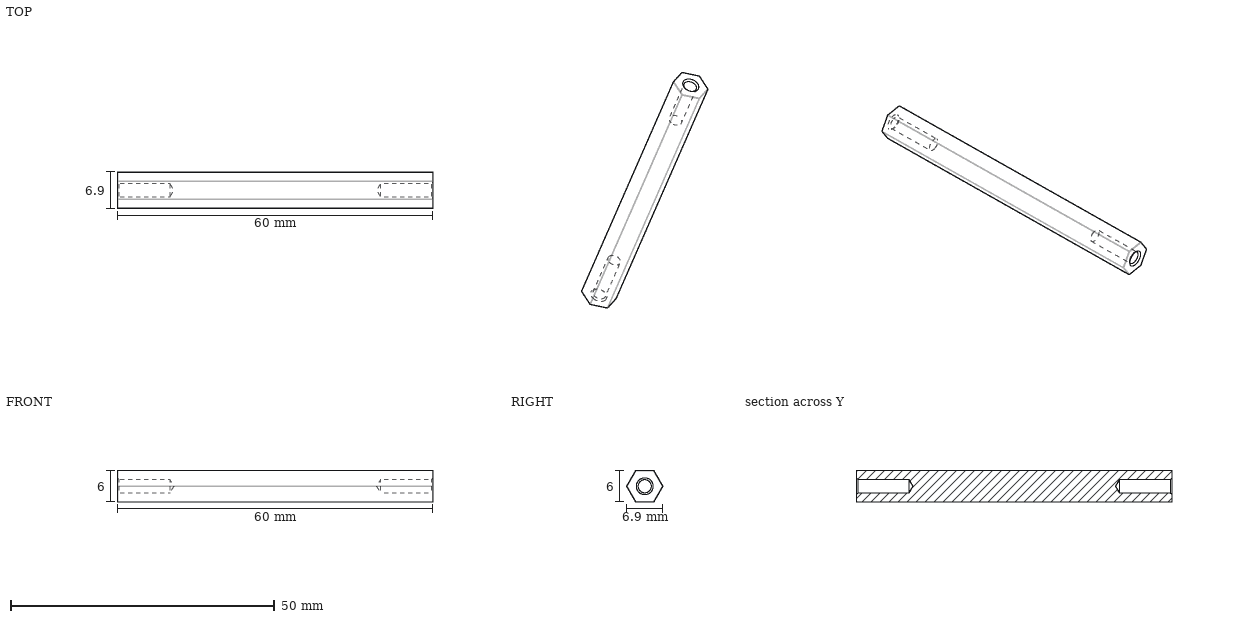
import cadquery as cq
import math

length = 60.0
hexagon_sides = 6
across_flats = 6.0
across_corners = across_flats / math.cos(math.pi / hexagon_sides)
edge_radius = 0.1

hole_diameter = 2.5
hole_depth = 10.0
mouth_diameter = 3.2
countersink_angle = 90.0
drill_tip_angle = 120.0


def cone_height(radius_change, included_angle):
    """Axial height over which a cone's radius changes by radius_change."""
    return radius_change / math.tan(math.radians(included_angle / 2))


def make_bar():
    """Edge-rounded hexagonal bar from X = 0 to X = length, with flats facing +Z and -Z."""
    bar = cq.Workplane("YZ").polygon(hexagon_sides, across_corners).extrude(length)
    return bar.edges().fillet(edge_radius)


def make_hole():
    """Countersunk blind hole entering at X = 0, with a conical drill tip."""
    hole_radius = hole_diameter / 2
    mouth_radius = mouth_diameter / 2
    countersink_depth = cone_height(mouth_radius - hole_radius, countersink_angle)
    tip_depth = hole_depth + cone_height(hole_radius, drill_tip_angle)
    return (
        cq.Workplane("XY")
        .polyline([
            (0, 0),
            (0, mouth_radius),
            (countersink_depth, hole_radius),
            (hole_depth, hole_radius),
            (tip_depth, 0),
        ])
        .close()
        .revolve(360, (0, 0, 0), (1, 0, 0))
    )


near_hole = make_hole()
far_hole = near_hole.mirror("YZ").translate((length, 0, 0))

result = make_bar().cut(near_hole).cut(far_hole)